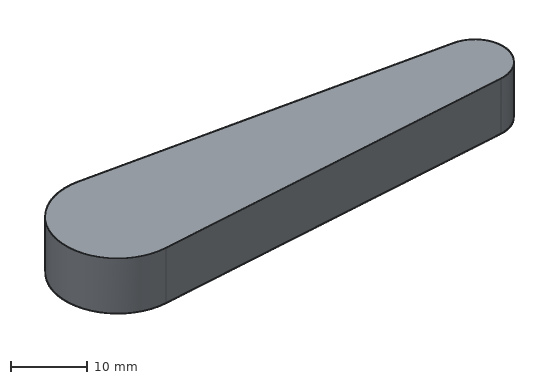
import cadquery as cq
import math

length = 73.4
thickness = 8.9
large_radius = 9.55
small_radius = 5.1

center_distance = length - large_radius - small_radius

taper_angle = math.asin((large_radius - small_radius) / center_distance)


def tangent_point(radius, center_y):
    """Point on the +X side where a straight side meets a round end."""
    return radius * math.cos(taper_angle), center_y + radius * math.sin(taper_angle)


large_x, large_y = tangent_point(large_radius, 0)
small_x, small_y = tangent_point(small_radius, center_distance)

result = (
    cq.Workplane("XY")
    .moveTo(large_x, large_y)
    .lineTo(small_x, small_y)
    .threePointArc((0, center_distance + small_radius), (-small_x, small_y))
    .lineTo(-large_x, large_y)
    .threePointArc((0, -large_radius), (large_x, large_y))
    .close()
    .extrude(thickness)
)